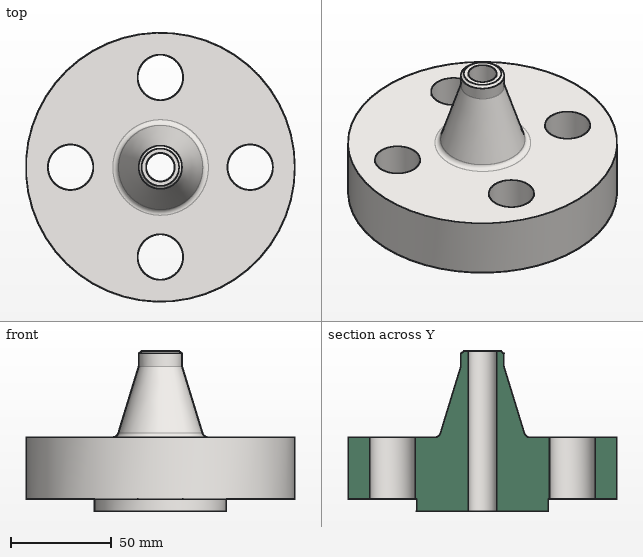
import cadquery as cq

FLANGE_DIAMETER = 133.3
FLANGE_THICKNESS = 30.7
FACE_DIAMETER = 65.5
FACE_HEIGHT = 6.1

TOTAL_HEIGHT = 79.5
CONE_BASE_DIAMETER = 43.0
CONE_HEIGHT = 35.2
NECK_DIAMETER = 21.5
BEVEL_WIDTH = 1.5
BEVEL_HEIGHT = 1.2
HUB_FILLET = 2.9

BORE_DIAMETER = 14.0
BOLT_HOLE_DIAMETER = 22.4
BOLT_CIRCLE_DIAMETER = 88.9
BOLT_COUNT = 4

flange_top = FACE_HEIGHT + FLANGE_THICKNESS
cone_top = flange_top + CONE_HEIGHT


def flange_plate():
    """Round plate standing on its raised face."""
    return (
        cq.Workplane("XY")
        .circle(FACE_DIAMETER / 2)
        .extrude(FACE_HEIGHT)
        .faces(">Z")
        .workplane()
        .circle(FLANGE_DIAMETER / 2)
        .extrude(FLANGE_THICKNESS)
    )


def welding_neck():
    """Half profile (radius, height) turned about the Z axis."""
    neck_radius = NECK_DIAMETER / 2
    return (
        cq.Workplane("XZ")
        .moveTo(0, flange_top)
        .lineTo(CONE_BASE_DIAMETER / 2, flange_top)
        .lineTo(neck_radius, cone_top)
        .lineTo(neck_radius, TOTAL_HEIGHT - BEVEL_HEIGHT)
        .lineTo(neck_radius - BEVEL_WIDTH, TOTAL_HEIGHT)
        .lineTo(0, TOTAL_HEIGHT)
        .close()
        .revolve(360, (0, 0, 0), (0, 1, 0))
    )


def round_hub_root(body):
    """Fillet the circle where the cone meets the flange top."""
    root_radius = CONE_BASE_DIAMETER / 2
    margin = 0.1
    root_edge = cq.selectors.BoxSelector(
        (-root_radius - margin, -root_radius - margin, flange_top - margin),
        (root_radius + margin, root_radius + margin, flange_top + margin),
        boundingbox=True,
    )
    return body.edges(root_edge).fillet(HUB_FILLET)


def bore():
    """Straight bore through the full height."""
    return cq.Workplane("XY").circle(BORE_DIAMETER / 2).extrude(TOTAL_HEIGHT)


def bolt_holes():
    """Bolt holes on the X and Y axes, through the whole flange plate."""
    return (
        cq.Workplane("XY")
        .polarArray(BOLT_CIRCLE_DIAMETER / 2, 0, 360, BOLT_COUNT)
        .circle(BOLT_HOLE_DIAMETER / 2)
        .extrude(flange_top)
    )


body = round_hub_root(flange_plate().union(welding_neck()))
result = body.cut(bore()).cut(bolt_holes())